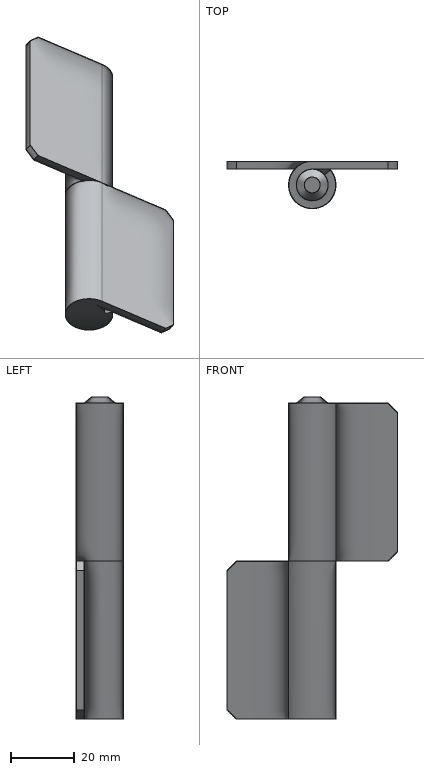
import cadquery as cq
import math

TOTAL_HEIGHT = 102.0
TOTAL_WIDTH = 54.0
KNUCKLE_DIAMETER = 15.0
PIN_DIAMETER = 10.0
PIN_TIP_DIAMETER = 5.0
LEAF_HEIGHT = 50.0
CORNER_CHAMFER = 3.0
ROLL_END_ANGLE = 40.0

leaf_reach = TOTAL_WIDTH / 2
outer_radius = KNUCKLE_DIAMETER / 2
pin_radius = PIN_DIAMETER / 2
pin_tip_radius = PIN_TIP_DIAMETER / 2
pin_shoulder = 2 * LEAF_HEIGHT


def roll_point(radius, angle):
    """Point on a circle about the hinge axis, angle in degrees."""
    turn = math.radians(angle)
    return (radius * math.cos(turn), radius * math.sin(turn))


def make_leaf():
    """Sheet with a flat plate toward +X, rolled around the hinge axis."""
    sheet = (
        cq.Workplane("XY")
        .moveTo(0, outer_radius)
        .lineTo(leaf_reach, outer_radius)
        .lineTo(leaf_reach, pin_radius)
        .lineTo(0, pin_radius)
        .threePointArc((0, -pin_radius), roll_point(pin_radius, ROLL_END_ANGLE))
        .lineTo(*roll_point(outer_radius, ROLL_END_ANGLE))
        .threePointArc((0, -outer_radius), (0, outer_radius))
        .close()
        .extrude(LEAF_HEIGHT)
    )
    return sheet.faces(">X").edges("|Y").chamfer(CORNER_CHAMFER)


def make_pin():
    """Full-height pin with a conical tip."""
    return (
        cq.Workplane("XZ")
        .lineTo(pin_radius, 0)
        .lineTo(pin_radius, pin_shoulder)
        .lineTo(pin_tip_radius, TOTAL_HEIGHT)
        .lineTo(0, TOTAL_HEIGHT)
        .close()
        .revolve(360, (0, 0, 0), (0, 1, 0))
    )


upper_leaf = make_leaf().translate((0, 0, LEAF_HEIGHT))

lower_leaf = make_leaf().mirror("YZ").union(make_pin())

result = cq.Compound.makeCompound([upper_leaf.solids().val(), lower_leaf.solids().val()])